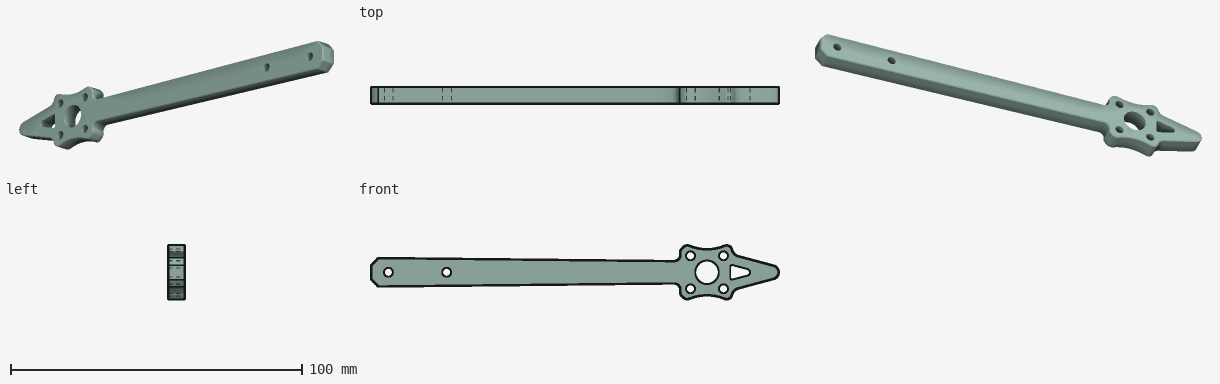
import cadquery as cq
import math

THICKNESS = 6.0
EDGE_CHAMFER = 0.3

ARM_END_X = -115.4
ARM_END_HALF_HEIGHT = 5.04
ARM_TAPER_ANGLE = 0.6
END_CORNER_LENGTH = 2.5
END_CORNER_HEIGHT = 2.55
ARM_HOLE_DIAMETER = 3.0
ARM_HOLE_INSET = 6.0
ARM_HOLE_SPACING = 20.0

BORE_DIAMETER = 8.0
BOLT_CIRCLE_DIAMETER = 16.0
BOLT_HOLE_DIAMETER = 3.0
BOLT_HOLE_COUNT = 4
FIRST_BOLT_HOLE_ANGLE = 45.0
HUB_HALF_HEIGHT = 9.39
LOBE_RADIUS = 2.0
ARM_FILLET_RADIUS = 2.0
LOBE_X = 6.75
LOBE_Z = HUB_HALF_HEIGHT - LOBE_RADIUS
LOBE_FLAT_DIRECTION = 135.0
LOBE_FLAT_WIDTH = 0.9
HUB_SIDE_RADIUS = 15.5

TIP_X = 24.75
TIP_ANGLE = 15.0
TIP_RADIUS = 2.5
TIP_FILLET_RADIUS = 3.0

WINDOW_LEFT_X = 8.0
WINDOW_RIGHT_X = 14.75
WINDOW_END_RADIUS = 1.1
WINDOW_CORNER_RADIUS = 0.6


def toward(start, end, distance):
    """Point at a distance from start on the line to end."""
    length = math.dist(start, end)
    return tuple(s + (e - s) * distance / length for s, e in zip(start, end))


def polar(centre, radius, degrees):
    """Point at a radius and direction from centre."""
    angle = math.radians(degrees)
    return (centre[0] + radius * math.cos(angle), centre[1] + radius * math.sin(angle))


def mid_arc(centre, start, end):
    """Point halfway along the shorter arc from start to end about centre."""
    middle = ((start[0] + end[0]) / 2, (start[1] + end[1]) / 2)
    return toward(centre, middle, math.dist(centre, start))


def fillet_centre(lobe, line_point, line_degrees, radius, side):
    """Centre of the fillet above a line and outside a lobe; side is -1 left of the lobe, +1 right."""
    along = polar((0, 0), 1, line_degrees)
    base = polar(line_point, radius, line_degrees + 90)
    offset = (lobe[0] - base[0], lobe[1] - base[1])
    foot = offset[0] * along[0] + offset[1] * along[1]
    height = offset[1] * along[0] - offset[0] * along[1]
    reach = foot + side * math.sqrt((LOBE_RADIUS + radius) ** 2 - height**2)
    return (base[0] + reach * along[0], base[1] + reach * along[1])


def half_body():
    """Upper half of the outline, closed along the centreline and extruded."""
    left_lobe = (-LOBE_X, LOBE_Z)
    corner_lobe = polar(left_lobe, LOBE_FLAT_WIDTH, LOBE_FLAT_DIRECTION + 90)
    right_lobe = (LOBE_X, LOBE_Z)
    arm_corner = (ARM_END_X + END_CORNER_LENGTH, ARM_END_HALF_HEIGHT)
    tip_centre = (TIP_X - TIP_RADIUS, 0)
    tip_start = polar(tip_centre, TIP_RADIUS, 90 - TIP_ANGLE)

    arm_fillet = fillet_centre(corner_lobe, arm_corner, -ARM_TAPER_ANGLE, ARM_FILLET_RADIUS, -1)
    arm_fillet_start = polar(arm_fillet, ARM_FILLET_RADIUS, -90 - ARM_TAPER_ANGLE)
    arm_fillet_end = toward(arm_fillet, corner_lobe, ARM_FILLET_RADIUS)

    flat_start = polar(corner_lobe, LOBE_RADIUS, LOBE_FLAT_DIRECTION)
    flat_end = polar(left_lobe, LOBE_RADIUS, LOBE_FLAT_DIRECTION)

    reach = HUB_SIDE_RADIUS + LOBE_RADIUS
    side_centre = (0, LOBE_Z + math.sqrt(reach**2 - LOBE_X**2))
    side_start = toward(left_lobe, side_centre, LOBE_RADIUS)
    side_end = toward(right_lobe, side_centre, LOBE_RADIUS)
    side_middle = (0, side_centre[1] - HUB_SIDE_RADIUS)

    tip_fillet = fillet_centre(right_lobe, tip_start, -TIP_ANGLE, TIP_FILLET_RADIUS, 1)
    tip_fillet_start = toward(tip_fillet, right_lobe, TIP_FILLET_RADIUS)
    tip_fillet_end = polar(tip_fillet, TIP_FILLET_RADIUS, -90 - TIP_ANGLE)

    return (
        cq.Workplane("XZ")
        .moveTo(ARM_END_X, 0)
        .lineTo(ARM_END_X, ARM_END_HALF_HEIGHT - END_CORNER_HEIGHT)
        .lineTo(*arm_corner)
        .lineTo(*arm_fillet_start)
        .threePointArc(mid_arc(arm_fillet, arm_fillet_start, arm_fillet_end), arm_fillet_end)
        .threePointArc(mid_arc(corner_lobe, arm_fillet_end, flat_start), flat_start)
        .lineTo(*flat_end)
        .threePointArc(mid_arc(left_lobe, flat_end, side_start), side_start)
        .threePointArc(side_middle, side_end)
        .threePointArc(mid_arc(right_lobe, side_end, tip_fillet_start), tip_fillet_start)
        .threePointArc(mid_arc(tip_fillet, tip_fillet_start, tip_fillet_end), tip_fillet_end)
        .lineTo(*tip_start)
        .threePointArc(mid_arc(tip_centre, tip_start, (TIP_X, 0)), (TIP_X, 0))
        .close()
        .extrude(THICKNESS / 2, both=True)
    )


def chamfered_body():
    """Both halves joined, with the front and back rims chamfered."""
    upper = half_body()
    body = upper.union(upper.mirror("XY")).clean()
    return body.faces("<Y or >Y").edges().chamfer(EDGE_CHAMFER)


def round_cutter(points, diameter):
    """Cylinders along Y at each (x, z) point, long enough to pass right through."""
    return cq.Workplane("XZ").pushPoints(points).circle(diameter / 2).extrude(THICKNESS, both=True)


def window_cutter():
    """Triangular window with a round nose toward the tip and two small rounded corners."""
    nose_centre = (WINDOW_RIGHT_X - WINDOW_END_RADIUS, 0)
    upper = polar(nose_centre, WINDOW_END_RADIUS, 90 - TIP_ANGLE)
    lower = (upper[0], -upper[1])
    half_height = upper[1] + (upper[0] - WINDOW_LEFT_X) * math.tan(math.radians(TIP_ANGLE))
    return (
        cq.Workplane("XZ")
        .moveTo(WINDOW_LEFT_X, -half_height)
        .lineTo(WINDOW_LEFT_X, half_height)
        .lineTo(*upper)
        .threePointArc((WINDOW_RIGHT_X, 0), lower)
        .close()
        .extrude(THICKNESS, both=True)
        .edges("|Y and <X")
        .fillet(WINDOW_CORNER_RADIUS)
    )


first_arm_hole_x = ARM_END_X + ARM_HOLE_INSET
arm_holes = [(first_arm_hole_x, 0), (first_arm_hole_x + ARM_HOLE_SPACING, 0)]
bolt_holes = [
    polar((0, 0), BOLT_CIRCLE_DIAMETER / 2, FIRST_BOLT_HOLE_ANGLE + i * 360 / BOLT_HOLE_COUNT)
    for i in range(BOLT_HOLE_COUNT)
]

result = (
    chamfered_body()
    .cut(round_cutter([(0, 0)], BORE_DIAMETER))
    .cut(round_cutter(bolt_holes, BOLT_HOLE_DIAMETER))
    .cut(round_cutter(arm_holes, ARM_HOLE_DIAMETER))
    .cut(window_cutter())
)